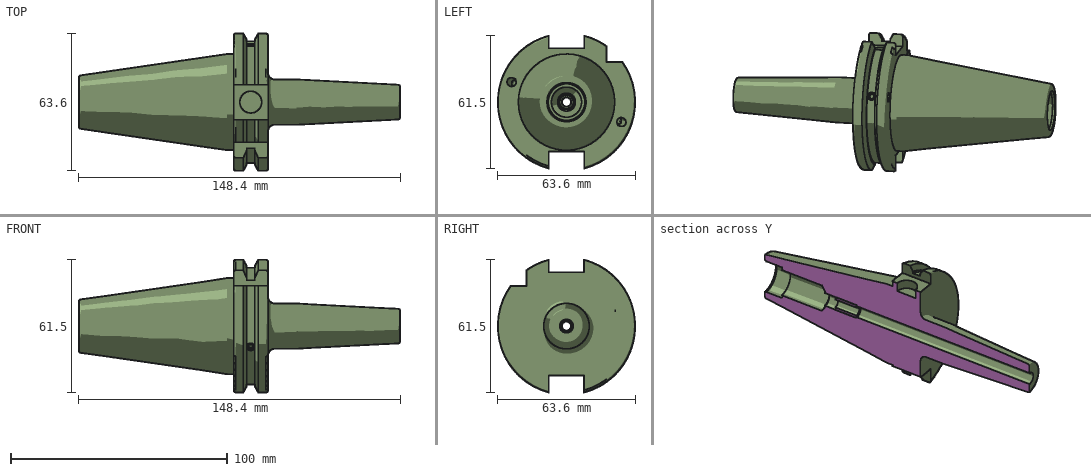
import cadquery as cq
import math

overall_length = 148.4
gauge_x = 68.4
flange_start_x = 71.5
flange_width = 15.9
flange_end_x = flange_start_x + flange_width
nose_taper_x = 100.6

taper_ratio = 7 / 48
gauge_radius = 22.3
taper_end_radius = gauge_radius - gauge_x * taper_ratio
flange_radius = 31.8
nose_radius = 10.5
nose_tip_radius = nose_radius - (overall_length - nose_taper_x) * math.tan(math.radians(3))
nose_root_fillet = 3.0
edge_fillet = 1.0

groove_x = flange_start_x + 7.9
groove_floor_radius = 28.2
groove_floor_width = 3.9
groove_flank_radius = 29.1
groove_flank_run = (flange_radius - groove_flank_radius) * math.tan(math.radians(30))
groove_floor_start = groove_x - groove_floor_width / 2
groove_floor_end = groove_x + groove_floor_width / 2

slot_width = 16.2
upper_slot_floor = 25.0
lower_slot_floor = 22.9
notch_floor = 18.5
chip_hole_radius = 5.0
chip_hole_depth = 4.5

counterbore_radius = 8.5
counterbore_depth = 9.6
counterbore_chamfer = 0.6
counterbore_chamfer_length = 1.0
thread_bore_radius = 7.0
thread_bore_end_x = 32.0
drill_half_angle = math.radians(59)
drill_cone_end_radius = 4.2
drill_cone_length = (thread_bore_radius - drill_cone_end_radius) / math.tan(drill_half_angle)
drill_cone_end_x = thread_bore_end_x + drill_cone_length

stop_radius = 3.4
stop_hole_radius = 2.1
stop_chamfer = 0.3
stop_length = 11.9
stop_start_x = drill_cone_end_x + 6.0
stop_end_x = stop_start_x + stop_length
tool_bore_radius = 3.0

coolant_angle = 20.0
coolant_offsets = (coolant_angle, coolant_angle + 180)
coolant_circle_radius = 27.0
coolant_hole_radius = 2.0
coolant_hole_length = groove_x - flange_start_x
coolant_tilt = 20.0
seal_radius = 1.8
seal_length = 4.5
seal_recess = 0.1
seal_socket_flats = 2.2
seal_socket_depth = 2.0
seal_seat_radius = groove_floor_radius - seal_recess - seal_length

clearance = 7.4
selection_margin = 0.1


def cylinder_x(radius, start_x, length):
    return cq.Workplane("YZ", origin=(start_x, 0, 0)).circle(radius).extrude(length)


def revolve_about_x(points):
    return cq.Workplane("XY").polyline(points).close().revolve(360, (0, 0, 0), (1, 0, 0))


def radial_workplane(angle, radius):
    """Plane through the groove centre, facing away from the X axis at the given angle."""
    outward = cq.Vector(0, math.cos(math.radians(angle)), math.sin(math.radians(angle)))
    centre = cq.Vector(groove_x, 0, 0) + outward * radius
    return cq.Workplane(cq.Plane(origin=centre, xDir=(1, 0, 0), normal=outward))


def make_outer_shape():
    half_diagonal = math.sqrt(0.5)
    fillet_middle = (
        flange_end_x + nose_root_fillet * (1 - half_diagonal),
        nose_radius + nose_root_fillet * (1 - half_diagonal),
    )
    profile = (
        cq.Workplane("XY")
        .moveTo(0, 0)
        .lineTo(0, taper_end_radius)
        .lineTo(gauge_x, gauge_radius)
        .lineTo(flange_start_x, gauge_radius)
        .lineTo(flange_start_x, flange_radius)
        .lineTo(groove_floor_start - groove_flank_run, flange_radius)
        .lineTo(groove_floor_start, groove_flank_radius)
        .lineTo(groove_floor_start, groove_floor_radius)
        .lineTo(groove_floor_end, groove_floor_radius)
        .lineTo(groove_floor_end, groove_flank_radius)
        .lineTo(groove_floor_end + groove_flank_run, flange_radius)
        .lineTo(flange_end_x, flange_radius)
        .lineTo(flange_end_x, nose_radius + nose_root_fillet)
        .threePointArc(fillet_middle, (flange_end_x + nose_root_fillet, nose_radius))
        .lineTo(nose_taper_x, nose_radius)
        .lineTo(overall_length, nose_tip_radius)
        .lineTo(overall_length, 0)
        .close()
    )
    body = profile.revolve(360, (0, 0, 0), (1, 0, 0))
    outer_rims = (
        (0, taper_end_radius),
        (flange_start_x, flange_radius),
        (flange_end_x, flange_radius),
        (overall_length, nose_tip_radius),
    )
    for rim_x, rim_radius in outer_rims:
        half_size = rim_radius + selection_margin
        rim_box = cq.selectors.BoxSelector(
            (rim_x - selection_margin, -half_size, -half_size),
            (rim_x + selection_margin, half_size, half_size),
            boundingbox=True,
        )
        rim = body.edges(rim_box).edges(cq.selectors.RadiusNthSelector(-1))
        body = body.newObject(rim.vals()).fillet(edge_fillet)
    return body


def cut_flange(body):
    reach = flange_radius + clearance

    def flange_block(y_min, y_max, z_min, z_max):
        size = (flange_width, y_max - y_min, z_max - z_min)
        return cq.Workplane("XY").box(*size, centered=False).translate((flange_start_x, y_min, z_min))

    body = body.cut(flange_block(-slot_width / 2, slot_width / 2, upper_slot_floor, reach))
    body = body.cut(flange_block(-slot_width / 2, slot_width / 2, -reach, -lower_slot_floor))
    body = body.cut(flange_block(-reach, -notch_floor, notch_floor, reach))
    chip_hole = (
        cq.Workplane("XY", origin=(groove_x, 0, upper_slot_floor))
        .circle(chip_hole_radius)
        .extrude(-chip_hole_depth)
    )
    return body.cut(chip_hole)


def cut_centre_bore(body):
    bore = revolve_about_x([
        (0, 0),
        (0, counterbore_radius + counterbore_chamfer),
        (counterbore_chamfer_length, counterbore_radius),
        (counterbore_depth, counterbore_radius),
        (counterbore_depth, thread_bore_radius),
        (thread_bore_end_x, thread_bore_radius),
        (drill_cone_end_x, drill_cone_end_radius),
        (drill_cone_end_x, stop_radius),
        (stop_end_x, stop_radius),
        (stop_end_x, tool_bore_radius),
        (overall_length, tool_bore_radius),
        (overall_length, 0),
    ])
    return body.cut(bore)


def cut_coolant_holes(body):
    mouth = (flange_start_x, coolant_circle_radius, 0)
    tilt_axis_end = (flange_start_x, coolant_circle_radius, 1)
    hole = cylinder_x(coolant_hole_radius, flange_start_x - clearance, coolant_hole_length + clearance)
    hole = hole.translate((0, coolant_circle_radius, 0))
    hole = hole.rotate(mouth, tilt_axis_end, -coolant_tilt)
    for angle in coolant_offsets:
        body = body.cut(hole.rotate((0, 0, 0), (1, 0, 0), angle))
        seat = radial_workplane(angle, seal_seat_radius).circle(seal_radius).extrude(seal_length + clearance)
        body = body.cut(seat)
    return body


def make_holder():
    body = make_outer_shape()
    body = cut_flange(body)
    body = cut_centre_bore(body)
    return cut_coolant_holes(body)


def make_stop_screw():
    screw = cylinder_x(stop_radius, stop_start_x, stop_length).faces("<X or >X").chamfer(stop_chamfer)
    return screw.cut(cylinder_x(stop_hole_radius, stop_start_x, stop_length))


def make_seal_screw(angle):
    screw = radial_workplane(angle, seal_seat_radius).circle(seal_radius).extrude(seal_length)
    socket = (
        radial_workplane(angle, seal_seat_radius + seal_length)
        .polygon(6, seal_socket_flats / math.cos(math.pi / 6))
        .extrude(-seal_socket_depth)
    )
    return screw.cut(socket)


holder = make_holder()
stop_screw = make_stop_screw()
seal_screws = [make_seal_screw(angle) for angle in coolant_offsets]

result = cq.Compound.makeCompound([
    holder.val(),
    stop_screw.val(),
    *[screw.val() for screw in seal_screws],
])